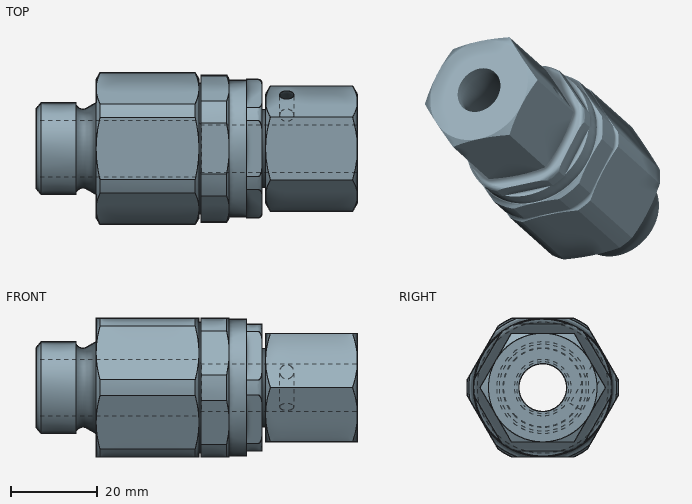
import cadquery as cq
import math

spigot_end = 9.25
body_start = 13.85
body_end = 37.5
locknut_start = 37.95
locknut_end = 44.5
collar_end = 48.5
small_hex_end = 52.0
nut_start = 52.8
nut_end = 74.0

spigot_radius = 10.6
spigot_chamfer_length = 1.2
spigot_face_radius = 9.2
undercut_radius = 9.1
undercut_floor = 10.8
undercut_arc_radius = 1.8
undercut_cone_angle = 30

flats_to_corners = math.cos(math.pi / 6)
body_flats = 32.0
body_corner_diameter = 35.0
locknut_flats = body_flats
locknut_corner_diameter = 34.05
small_hex_flats = 29.2
small_hex_corner_diameter = body_flats
small_hex_rounding = 0.95
nut_flats = 25.0
nut_corner_diameter = nut_flats / flats_to_corners
chamfer_angle = 30

groove_radius = 15.1
collar_radius = 15.75
neck_radius = 9.0

entry_radius = 6.5
mouth_radius = 6.0
bore_radius = 5.5
entry_depth = body_end
mouth_length = mouth_radius - bore_radius

wire_hole_diameter = 3.25
wire_hole_x = 57.7
wire_hole_offset = 8.9
wire_hole_tilt = 60


def disc(start, end, radius):
    """Round section between two stations along X."""
    return cq.Workplane("YZ").workplane(offset=start).circle(radius).extrude(end - start)


def hex_prism(start, end, across_flats):
    """Hexagonal section with flats on +Z and -Z and corners on +Y and -Y."""
    sharp_diameter = across_flats / flats_to_corners
    return cq.Workplane("YZ").workplane(offset=start).polygon(6, sharp_diameter).extrude(end - start)


def chamfered_hex(start, end, across_flats, corner_diameter, chamfer_start):
    """Hexagon with turned corners, chamfered at the right end and optionally at the left end."""
    corner_radius = corner_diameter / 2
    face_radius = across_flats / 2
    length = (corner_radius - face_radius) * math.tan(math.radians(chamfer_angle))
    outline = cq.Workplane("XY").moveTo(start, 0)
    if chamfer_start:
        outline = outline.lineTo(start, face_radius).lineTo(start + length, corner_radius)
    else:
        outline = outline.lineTo(start, corner_radius)
    outline = outline.lineTo(end - length, corner_radius).lineTo(end, face_radius).lineTo(end, 0)
    turned = outline.close().revolve(360, (0, 0, 0), (1, 0, 0))
    return hex_prism(start, end, across_flats).intersect(turned)


def rounded_hex(start, end, across_flats, corner_diameter, rounding):
    """Hexagon with turned corners that are rounded over at the right end."""
    turned = disc(start, end, corner_diameter / 2).faces(">X").edges().fillet(rounding)
    return hex_prism(start, end, across_flats).intersect(turned)


def spigot():
    """Chamfered spigot with a concave undercut that runs tangentially into a cone up to the body."""
    cone_angle = math.radians(undercut_cone_angle)
    arc_centre_radius = undercut_radius + undercut_arc_radius
    arc_run = undercut_floor - spigot_end
    arc_start_radius = arc_centre_radius - math.sqrt(undercut_arc_radius**2 - arc_run**2)
    cone_start = undercut_floor + undercut_arc_radius * math.sin(cone_angle)
    cone_start_radius = arc_centre_radius - undercut_arc_radius * math.cos(cone_angle)
    cone_end_radius = cone_start_radius + (body_start - cone_start) * math.tan(cone_angle)
    return (
        cq.Workplane("XY")
        .lineTo(0, spigot_face_radius)
        .lineTo(spigot_chamfer_length, spigot_radius)
        .lineTo(spigot_end, spigot_radius)
        .lineTo(spigot_end, arc_start_radius)
        .threePointArc((undercut_floor, undercut_radius), (cone_start, cone_start_radius))
        .lineTo(body_start, cone_end_radius)
        .lineTo(body_start, 0)
        .close()
        .revolve(360, (0, 0, 0), (1, 0, 0))
    )


def bore():
    """Stepped passage that runs the whole length of the fitting."""
    return (
        cq.Workplane("XY")
        .lineTo(0, entry_radius)
        .lineTo(entry_depth, entry_radius)
        .lineTo(entry_depth, mouth_radius)
        .lineTo(entry_depth + mouth_length, bore_radius)
        .lineTo(nut_end, bore_radius)
        .lineTo(nut_end, 0)
        .close()
        .revolve(360, (0, 0, 0), (1, 0, 0))
    )


def wire_hole():
    """Tangential hole that enters an upper flat and stops at its closest point to the X axis."""
    tilt = math.radians(wire_hole_tilt)
    closest_point = cq.Vector(
        wire_hole_x,
        wire_hole_offset * math.sin(tilt),
        -wire_hole_offset * math.cos(tilt),
    )
    outward = cq.Vector(0, math.cos(tilt), math.sin(tilt))
    return cq.Workplane(
        cq.Solid.makeCylinder(wire_hole_diameter / 2, nut_corner_diameter, closest_point, outward)
    )


body = chamfered_hex(body_start, body_end, body_flats, body_corner_diameter, True)
locknut = chamfered_hex(locknut_start, locknut_end, locknut_flats, locknut_corner_diameter, False)
small_hex = rounded_hex(
    collar_end, small_hex_end, small_hex_flats, small_hex_corner_diameter, small_hex_rounding
)
nut = chamfered_hex(nut_start, nut_end, nut_flats, nut_corner_diameter, True).cut(wire_hole())

result = (
    spigot()
    .union(body)
    .union(disc(body_end, locknut_start, groove_radius))
    .union(locknut)
    .union(disc(locknut_end, collar_end, collar_radius))
    .union(small_hex)
    .union(disc(small_hex_end, nut_start, neck_radius))
    .union(nut)
    .cut(bore())
)